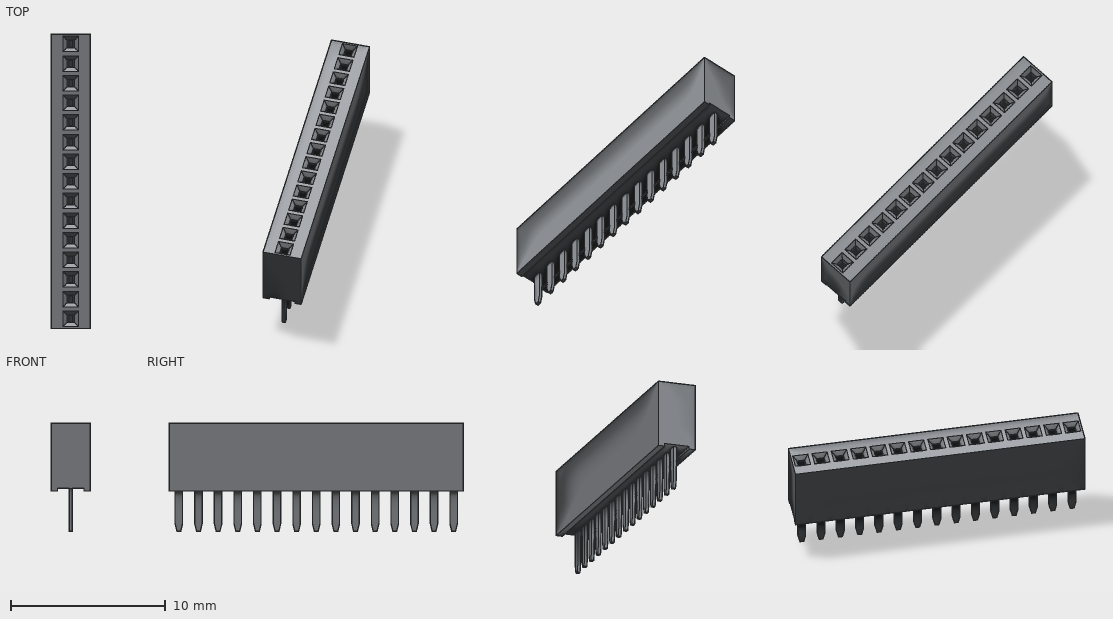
import cadquery as cq

contact_count = 15
pitch = 1.27
row_length = contact_count * pitch

housing_width = 2.54
housing_height = 4.4
foot_width = 0.42
foot_height = 0.18

overall_height = 7.0
pin_tip_z = housing_height - overall_height
pin_thickness = 0.2
pin_width = 0.5
pin_tip_width = 0.25
pin_taper_length = 0.5

funnel_mouth = 1.0
funnel_throat = 0.5
funnel_depth = 0.25
well_depth = 1.75
socket_floor_z = housing_height - funnel_depth - well_depth

blade_width = 0.42
blade_height = 0.5
blade_top_z = socket_floor_z + blade_height


def box(size_x, size_y, bottom_z, top_z):
    """Box centred on the Z axis between two heights."""
    height = top_z - bottom_z
    return cq.Workplane("XY").workplane(offset=bottom_z).rect(size_x, size_y).extrude(height)


def make_housing():
    body = box(housing_width, row_length, 0, housing_height)
    gap_between_feet = housing_width - 2 * foot_width
    return body.cut(box(gap_between_feet, row_length, 0, foot_height))


def make_socket():
    funnel = (
        cq.Workplane("XY")
        .workplane(offset=housing_height - funnel_depth)
        .rect(funnel_throat, funnel_throat)
        .workplane(offset=funnel_depth)
        .rect(funnel_mouth, funnel_mouth)
        .loft(ruled=True)
    )
    well = box(funnel_throat, funnel_throat, socket_floor_z, housing_height - funnel_depth)
    return funnel.union(well)


def make_pin():
    """Pin from the socket floor down through the housing to its tapered tip, plus the contact blade."""
    half_width = pin_width / 2
    half_tip = pin_tip_width / 2
    shoulder_z = pin_tip_z + pin_taper_length
    outline = [
        (-half_width, socket_floor_z),
        (-half_width, shoulder_z),
        (-half_tip, pin_tip_z),
        (half_tip, pin_tip_z),
        (half_width, shoulder_z),
        (half_width, socket_floor_z),
    ]
    tail = cq.Workplane("YZ").polyline(outline).close().extrude(pin_thickness / 2, both=True)
    blade = box(pin_thickness, blade_width, socket_floor_z, blade_top_z)
    return tail.union(blade)


def repeat_along_row(shape):
    first_y = -(contact_count - 1) * pitch / 2
    copies = cq.Workplane("XY")
    for index in range(contact_count):
        copies = copies.add(shape.translate((0, first_y + index * pitch, 0)))
    return copies.combine()


housing = make_housing().cut(repeat_along_row(make_socket()))
result = housing.union(repeat_along_row(make_pin()))